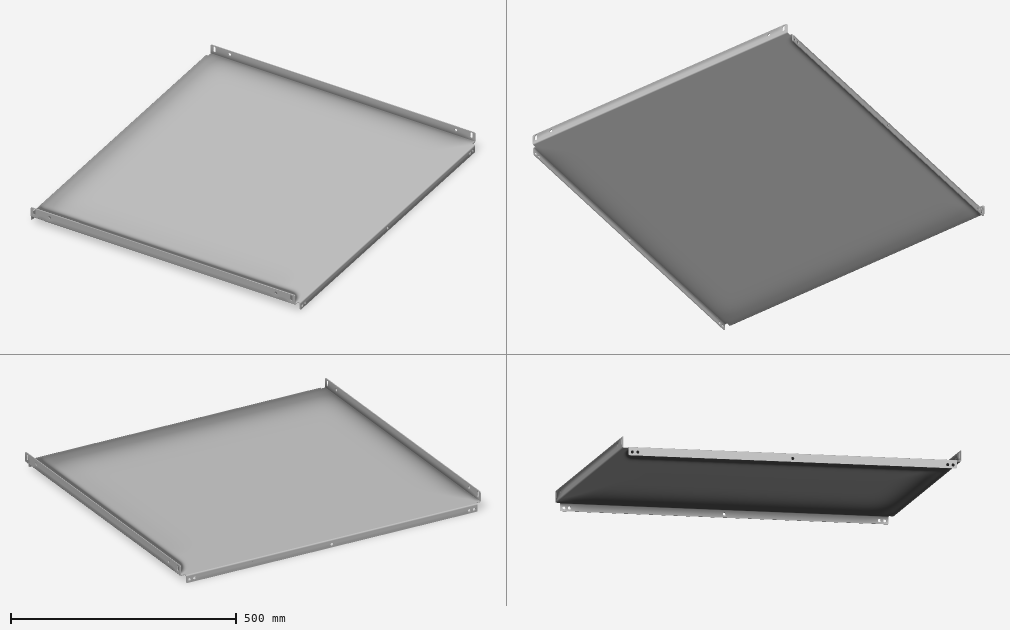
import cadquery as cq


width = 698.0
depth = 769.0
height = 43.0

sheet = 1.9
bend_radius = 3.0
corner_radius = 3.0

side_drop = 19.0
end_rise = height - side_drop + sheet
side_length = 745.0
end_length = 684.5

hole_diameter = 7.0

slot_width = 7.0
slot_height = 14.5
slot_offset = 333.0
end_hole_offset = 293.0
end_hole_height = 14.0

outer_hole_offset = 364.0
hole_pair_spacing = 12.0
inner_hole_offset = outer_hole_offset - hole_pair_spacing
side_hole_depth = 11.5


def bent_strip(plane, run, rise, length):
    """Strip that runs flat from the plane's origin and then bends up along the plane's Y axis."""
    bend_start = run - bend_radius
    inner_face = run - sheet
    inner_radius = bend_radius - sheet
    return (
        cq.Workplane(plane)
        .lineTo(bend_start, 0)
        .radiusArc((run, bend_radius), -bend_radius)
        .lineTo(run, rise)
        .lineTo(inner_face, rise)
        .lineTo(inner_face, bend_radius)
        .radiusArc((bend_start, sheet), inner_radius)
        .lineTo(0, sheet)
        .close()
        .extrude(length / 2, both=True)
    )


def end_half():
    """The +Y half of the tray with its upward flange."""
    plane = cq.Plane(origin=(0, 0, -sheet), xDir=(0, 1, 0), normal=(1, 0, 0))
    body = bent_strip(plane, depth / 2, end_rise, end_length)
    body = body.edges("|Y and >Z").fillet(corner_radius)

    hole_line = cq.Workplane("XZ").center(0, end_hole_height)
    slots = (
        hole_line.pushPoints([(-slot_offset, 0), (slot_offset, 0)])
        .slot2D(slot_height, slot_width, 90)
        .extrude(-depth)
    )
    holes = (
        hole_line.pushPoints([(-end_hole_offset, 0), (end_hole_offset, 0)])
        .circle(hole_diameter / 2)
        .extrude(-depth)
    )
    return body.cut(slots).cut(holes)


def side_half():
    """The +X half of the tray with its downward flange."""
    plane = cq.Plane(origin=(0, 0, 0), xDir=(1, 0, 0), normal=(0, 1, 0))
    body = bent_strip(plane, width / 2, side_drop, side_length)
    body = body.edges("|X and <Z").fillet(corner_radius)

    offsets = (-outer_hole_offset, -inner_hole_offset, 0, inner_hole_offset, outer_hole_offset)
    holes = (
        cq.Workplane("YZ")
        .pushPoints([(offset, -side_hole_depth) for offset in offsets])
        .circle(hole_diameter / 2)
        .extrude(width)
    )
    return body.cut(holes)


end = end_half()
side = side_half()
result = end.union(end.mirror("XZ")).union(side).union(side.mirror("YZ")).clean()